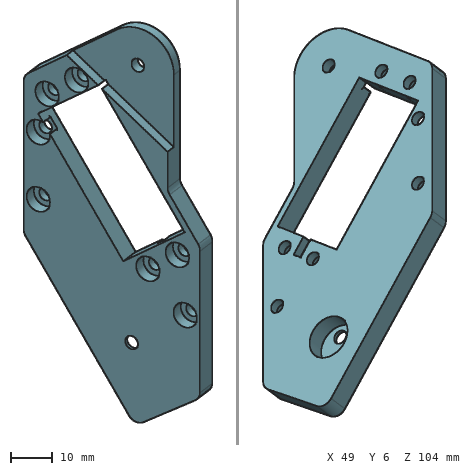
import cadquery as cq
import math

WIDTH = 49.0
HEIGHT = 104.0
THICKNESS = 6.0
RIGHT = WIDTH / 2
LEFT = -RIGHT
TOP = HEIGHT / 2
FRONT = -THICKNESS / 2
BACK = THICKNESS / 2
CUT_MARGIN = 1.0

TILT = math.radians(35.0)
ACROSS = (math.cos(TILT), math.sin(TILT))
ALONG = (math.sin(TILT), -math.cos(TILT))

EAR_RADIUS = 10.0
EAR_X = 5.5
EAR_Z = TOP - EAR_RADIUS
EAR_RIGHT = EAR_X + EAR_RADIUS
CORNER_RADIUS = 3.0

SERVO_X = -0.1
SERVO_Z = 13.05

LOWER_LEFT_EDGE = -32.6
RIGHT_SLOPE_EDGE = 12.2

LOWER_RIGHT_Z = -41.28
BOTTOM_TILT = math.radians(33.2)

WINDOW_WIDTH = 20.8
WINDOW_LENGTH = 41.2
NOTCH_WIDTH = 2.5
NOTCH_DEPTH = 2.5
NOTCH_LENGTH = 5.0

HOLE_DIAMETER = 3.5
BORE_DIAMETER = 6.5
BORE_DEPTH = 3.5
REAR_RECESS_DIAMETER = 11.0
REAR_RECESS_DEPTH = 5.0
REAR_RECESS_DROP = 2.4
SERVO_HOLE_PITCH = 10.0
SERVO_HOLE_SPAN = 48.8
SERVO_HOLE_SHIFT = 0.4
SIDE_HOLE_X = 20.4
LEFT_HOLE_ZS = (19.0, 1.0)
RIGHT_HOLE_Z = -20.0
MOUNT_HOLE_SPACING = 73.0

STEP_DEPTH = 3.0
STEP_RIGHT_Z = 22.55
STEP_TILT = math.radians(34.2)


def servo_point(across, along):
    """XZ position of a point given in the tilted servo directions."""
    return (
        SERVO_X + across * ACROSS[0] + along * ALONG[0],
        SERVO_Z + across * ACROSS[1] + along * ALONG[1],
    )


def slope_height(x, across):
    """Height at x of the edge that runs beside the servo at the given distance."""
    edge_x, edge_z = servo_point(across, 0)
    return edge_z - (x - edge_x) / math.tan(TILT)


def front_prism(start_y, depth, points):
    """Prism on an XZ polygon, running from start_y towards +Y."""
    plane = cq.Workplane("XZ", origin=(0, start_y, 0))
    return plane.polyline(points).close().extrude(-depth)


def cylinders(diameter, start_y, end_y, centres):
    """Cylinders along Y, from start_y to end_y, at the given XZ centres."""
    plane = cq.Workplane("XZ", origin=(0, start_y, 0))
    return plane.pushPoints(centres).circle(diameter / 2).extrude(start_y - end_y)


def servo_rectangle(across_start, across_end, along_start, along_end):
    """Corners of a rectangle aligned with the servo."""
    return [
        servo_point(across_start, along_start),
        servo_point(across_end, along_start),
        servo_point(across_end, along_end),
        servo_point(across_start, along_end),
    ]


def make_plate():
    tangent = (EAR_X - EAR_RADIUS * ALONG[0], EAR_Z - EAR_RADIUS * ALONG[1])
    arc_angle = (math.pi / 2 + TILT) / 2
    arc_middle = (
        EAR_X + EAR_RADIUS * math.cos(arc_angle),
        EAR_Z + EAR_RADIUS * math.sin(arc_angle),
    )
    upper_left = (LEFT, tangent[1] - (tangent[0] - LEFT) * math.tan(TILT))
    lower_left = (LEFT, slope_height(LEFT, LOWER_LEFT_EDGE))
    ear_foot = (EAR_RIGHT, slope_height(EAR_RIGHT, RIGHT_SLOPE_EDGE))
    right_shoulder = (RIGHT, slope_height(RIGHT, RIGHT_SLOPE_EDGE))
    lower_right = (RIGHT, LOWER_RIGHT_Z)

    left_slope = 1 / math.tan(TILT)
    right_slope = math.tan(BOTTOM_TILT)
    gap = slope_height(RIGHT, LOWER_LEFT_EDGE) - LOWER_RIGHT_Z
    bottom_x = RIGHT + gap / (left_slope + right_slope)
    bottom = (bottom_x, slope_height(bottom_x, LOWER_LEFT_EDGE))

    plate = (
        cq.Workplane("XZ", origin=(0, FRONT, 0))
        .moveTo(*tangent)
        .threePointArc(arc_middle, (EAR_RIGHT, EAR_Z))
        .lineTo(*ear_foot)
        .lineTo(*right_shoulder)
        .lineTo(*lower_right)
        .lineTo(*bottom)
        .lineTo(*lower_left)
        .lineTo(*upper_left)
        .close()
        .extrude(-THICKNESS)
    )
    for x, z in (ear_foot, right_shoulder, lower_right, bottom, lower_left, upper_left):
        corner = cq.selectors.NearestToPointSelector((x, 0, z))
        plate = plate.edges("|Y").edges(corner).fillet(CORNER_RADIUS)
    return plate


def make_step():
    def step_point(x):
        return (x, STEP_RIGHT_Z + (EAR_RIGHT - x) * math.tan(STEP_TILT))

    ear_end = EAR_RIGHT + CUT_MARGIN
    above = TOP + CUT_MARGIN
    outline = [step_point(LEFT), step_point(ear_end), (ear_end, above), (LEFT, above)]
    return front_prism(FRONT - CUT_MARGIN, STEP_DEPTH + CUT_MARGIN, outline)


def make_window():
    half_width = WINDOW_WIDTH / 2
    half_length = WINDOW_LENGTH / 2
    outline = servo_rectangle(-half_width, half_width, -half_length, half_length)
    return front_prism(FRONT - CUT_MARGIN, THICKNESS + 2 * CUT_MARGIN, outline)


def make_notch():
    half_width = NOTCH_WIDTH / 2
    wall = WINDOW_LENGTH / 2
    outline = servo_rectangle(-half_width, half_width, wall - CUT_MARGIN, wall + NOTCH_LENGTH)
    return front_prism(BACK - NOTCH_DEPTH, NOTCH_DEPTH + CUT_MARGIN, outline)


servo_holes = [
    servo_point(side * SERVO_HOLE_PITCH / 2, SERVO_HOLE_SHIFT + end * SERVO_HOLE_SPAN / 2)
    for side in (-1, 1)
    for end in (-1, 1)
]
side_holes = [(-SIDE_HOLE_X, z) for z in LEFT_HOLE_ZS] + [(SIDE_HOLE_X, RIGHT_HOLE_Z)]
bored_holes = servo_holes + side_holes
ear_hole = (EAR_X, EAR_Z)
lower_hole = (EAR_X, EAR_Z - MOUNT_HOLE_SPACING)
recess_centre = (lower_hole[0], lower_hole[1] - REAR_RECESS_DROP)
all_holes = bored_holes + [ear_hole, lower_hole]

before_front = FRONT - CUT_MARGIN
behind_back = BACK + CUT_MARGIN

result = (
    make_plate()
    .cut(make_step())
    .cut(make_window())
    .cut(make_notch())
    .cut(cylinders(HOLE_DIAMETER, before_front, behind_back, all_holes))
    .cut(cylinders(BORE_DIAMETER, before_front, FRONT + BORE_DEPTH, bored_holes))
    .cut(cylinders(REAR_RECESS_DIAMETER, BACK - REAR_RECESS_DEPTH, behind_back, [recess_centre]))
)